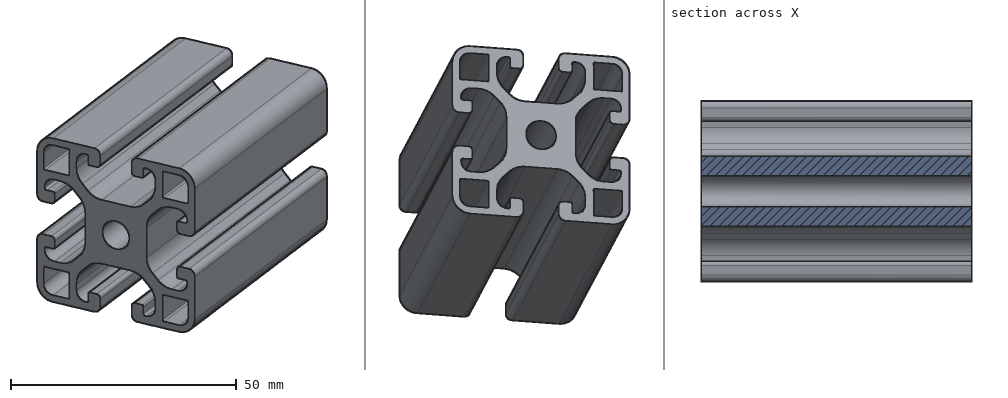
import cadquery as cq
import math

side = 40.0
length = 60.0
corner_radius = 4.0
bore_diameter = 6.8

mouth_width = 8.0
lip_thickness = 3.0
lip_depth = 4.5
chamber_width = 20.0
chamber_roof_depth = 1.9
floor_height = 7.8
strut_thickness = 3.0

lip_face_radius = 1.5
lip_tip_radius = 0.9
lip_hook_radius = 0.35
hook_root_radius = 0.55
chamber_roof_radius = 2.4
chamber_bend_radius = 5.0

skin_thickness = 1.7
inner_wall_thickness = 1.85
pocket_corner_radius = 0.35

half_side = side / 2
half_mouth = mouth_width / 2
half_chamber = chamber_width / 2
half_hook = half_mouth + lip_thickness
lip_tip_height = half_side - lip_depth
roof_height = half_side - chamber_roof_depth
strut_offset = strut_thickness / math.sqrt(2)
pocket_near = half_chamber + inner_wall_thickness
pocket_far = half_side - skin_thickness
pocket_size = pocket_far - pocket_near
pocket_center = (pocket_far + pocket_near) / 2
pocket_outer_radius = corner_radius - skin_thickness
overcut = 3.0


def round_edge_pair(body, x, z, radius):
    """Fillet the two lengthwise edges at (x, z) and its mirror image (-x, z)."""
    for edge_x in (x, -x):
        edge = cq.selectors.NearestToPointSelector((edge_x, 0, z))
        body = body.edges("|Y").edges(edge).fillet(radius)
    return body


def make_slot():
    """Solid that fills the T-slot opening on the +Z face, with all its bends rounded."""
    right_side = [
        (half_mouth, half_side + overcut),
        (half_mouth, lip_tip_height),
        (half_hook, lip_tip_height),
        (half_hook, roof_height),
        (half_chamber, roof_height),
        (half_chamber, half_chamber + strut_offset),
        (floor_height - strut_offset, floor_height),
    ]
    left_side = [(-x, z) for x, z in reversed(right_side)]
    outline = cq.Workplane("XZ").polyline(right_side + left_side).close()
    slot = outline.extrude(length / 2 + overcut, both=True)

    bend_radii = [
        lip_tip_radius,
        lip_hook_radius,
        hook_root_radius,
        chamber_roof_radius,
        chamber_bend_radius,
        chamber_bend_radius,
    ]
    for (x, z), radius in zip(right_side[1:], bend_radii):
        slot = round_edge_pair(slot, x, z, radius)
    return slot


def make_corner_pocket():
    """Through hollow for the +X +Z corner, its outer corner concentric with the profile corner."""
    outline = cq.Workplane("XZ").center(pocket_center, pocket_center).rect(pocket_size, pocket_size)
    pocket = outline.extrude(length / 2 + overcut, both=True)
    outer_edge = pocket.edges(">(1, 0, 1)")
    pocket = outer_edge.fillet(pocket_outer_radius)
    for x, z in (
        (pocket_near, pocket_near),
        (pocket_near, pocket_far),
        (pocket_far, pocket_near),
    ):
        corner = cq.selectors.NearestToPointSelector((x, 0, z))
        pocket = pocket.edges("|Y").edges(corner).fillet(pocket_corner_radius)
    return pocket


def turn(body, quarter):
    """Rotate a body about the bore axis by a number of quarter turns."""
    return body.rotate((0, 0, 0), (0, 1, 0), 90 * quarter)


profile = cq.Workplane("XZ").rect(side, side).extrude(length / 2, both=True)
profile = profile.edges("|Y").fillet(corner_radius)
bore = cq.Workplane("XZ").circle(bore_diameter / 2).extrude(length / 2 + overcut, both=True)
profile = profile.cut(bore)

slot = make_slot()
pocket = make_corner_pocket()
for quarter in range(4):
    profile = profile.cut(turn(slot, quarter)).cut(turn(pocket, quarter))

for reach in (half_side, -half_side):
    for offset in (half_mouth, -half_mouth):
        for x, z in ((offset, reach), (reach, offset)):
            lip_edge = cq.selectors.NearestToPointSelector((x, 0, z))
            profile = profile.edges("|Y").edges(lip_edge).fillet(lip_face_radius)

result = profile